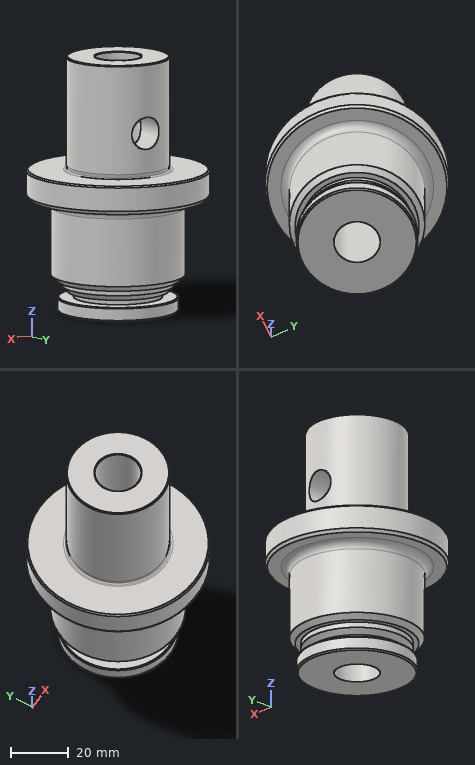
import cadquery as cq

total_height = 90.0
foot_top = 5.0
collar_bottom = 7.0
body_bottom = 11.0
flange_bottom = 40.0
flange_top = 50.0

foot_radius = 21.1
neck_radius = 15.5
collar_radius = 19.5
body_radius = 23.5
flange_diameter = 63.8
flange_radius = flange_diameter / 2
shaft_radius = 18.0
bore_radius = 8.0

small_chamfer = 0.5
shaft_chamfer = 0.4
foot_top_chamfer = 0.4
bore_chamfer = 0.3
step_chamfer = 2.0
flange_lower_chamfer_width = 0.7
flange_lower_chamfer_height = 1.3
flange_fillet = 3.0

undercut_shaft_depth = 0.3
undercut_face_depth = 0.2
undercut_corner_radius = 0.5
undercut_outer_radius = 19.0
undercut_height = 1.5

side_hole_radius = 5.7
side_hole_height = 65.5


def lower_outline(outline):
    """Foot, neck, collar and body, from the base up to the flange."""
    return (
        outline.lineTo(foot_radius - small_chamfer, 0)
        .lineTo(foot_radius, small_chamfer)
        .lineTo(foot_radius, foot_top - foot_top_chamfer)
        .lineTo(foot_radius - foot_top_chamfer, foot_top)
        .lineTo(neck_radius, foot_top)
        .lineTo(neck_radius, collar_bottom)
        .lineTo(collar_radius - step_chamfer, collar_bottom)
        .lineTo(collar_radius, collar_bottom + step_chamfer)
        .lineTo(collar_radius, body_bottom)
        .lineTo(body_radius - step_chamfer, body_bottom)
        .lineTo(body_radius, body_bottom + step_chamfer)
        .lineTo(body_radius, flange_bottom - flange_fillet)
        .radiusArc((body_radius + flange_fillet, flange_bottom), flange_fillet)
    )


def upper_outline(outline):
    """Flange, undercut and shaft, from the flange underside to the top."""
    undercut_radius = shaft_radius - undercut_shaft_depth
    undercut_floor = flange_top - undercut_face_depth
    corner_outer = (undercut_radius + undercut_corner_radius, undercut_floor)
    corner_upper = (undercut_radius, undercut_floor + undercut_corner_radius)
    return (
        outline.lineTo(flange_radius - flange_lower_chamfer_width, flange_bottom)
        .lineTo(flange_radius, flange_bottom + flange_lower_chamfer_height)
        .lineTo(flange_radius, flange_top - small_chamfer)
        .lineTo(flange_radius - small_chamfer, flange_top)
        .lineTo(undercut_outer_radius, flange_top)
        .lineTo(*corner_outer)
        .radiusArc(corner_upper, undercut_corner_radius)
        .lineTo(shaft_radius, flange_top + undercut_height)
        .lineTo(shaft_radius, total_height - shaft_chamfer)
        .lineTo(shaft_radius - shaft_chamfer, total_height)
    )


def turned_body():
    """Full revolved part with its through bore, chamfered at the top."""
    outline = cq.Workplane("XZ").moveTo(bore_radius, 0)
    outline = upper_outline(lower_outline(outline))
    outline = (
        outline.lineTo(bore_radius + bore_chamfer, total_height)
        .lineTo(bore_radius, total_height - bore_chamfer)
        .close()
    )
    return outline.revolve(360, (0, 0, 0), (0, 1, 0))


def side_hole():
    """Cutter reaching from the bore axis out through the +Y side."""
    return (
        cq.Workplane("XZ", origin=(0, 0, side_hole_height))
        .circle(side_hole_radius)
        .extrude(-flange_radius)
    )


result = turned_body().cut(side_hole())